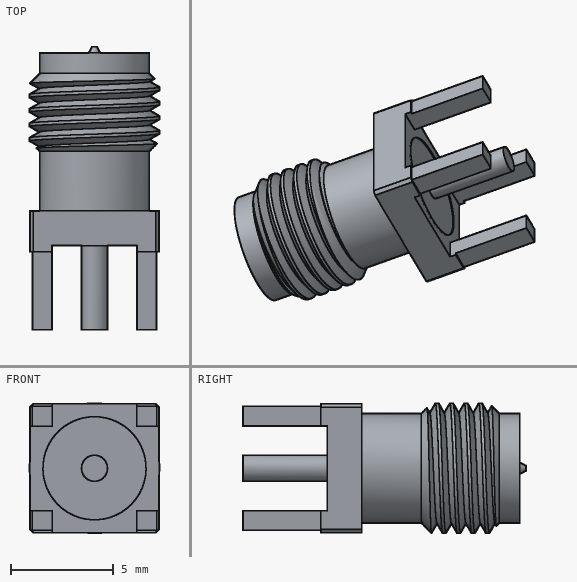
import cadquery as cq
import math


flange_width = 6.3
flange_thickness = 2.0
flange_corner_chamfer = 0.17
recess_depth = 0.3

leg_inner = 2.06
leg_outer = 3.03
leg_length = 3.8

insulator_diameter = 5.03
insulator_gap_depth = 0.05
pin_diameter = 1.27

barrel_diameter = 5.35
barrel_end = 9.7
thread_diameter = 6.35
thread_start = 4.9
thread_end = 8.7
thread_pitch = 25.4 / 36
thread_crest_y = 7.6
thread_angle = 60.0
groove_depth = 0.475
groove_overshoot = 0.03

tip_end = 10.0
tip_base_diameter = 0.57
tip_end_diameter = 0.25

barrel_radius = barrel_diameter / 2
thread_radius = thread_diameter / 2
thread_height = thread_radius - barrel_radius


def box_between(x_range, y_range, z_range):
    """Axis-aligned box given by its limits along X, Y and Z."""
    corner = cq.Vector(x_range[0], y_range[0], z_range[0])
    size = [limits[1] - limits[0] for limits in (x_range, y_range, z_range)]
    return cq.Workplane(obj=cq.Solid.makeBox(*size, corner))


def y_cylinder(diameter, y_start, y_end):
    """Cylinder on the Y axis."""
    base = cq.Vector(0, y_start, 0)
    return cq.Workplane(obj=cq.Solid.makeCylinder(diameter / 2, y_end - y_start, base, cq.Vector(0, 1, 0)))


def make_flange():
    """Square flange whose recess leaves a raised pad at each corner."""
    half = flange_width / 2
    flange = box_between((-half, half), (0, flange_thickness), (-half, half))
    flange = flange.edges("|Y").chamfer(flange_corner_chamfer)
    channel = (-leg_inner, leg_inner)
    across = (-half, half)
    flange = flange.cut(box_between(channel, (0, recess_depth), across))
    flange = flange.cut(box_between(across, (0, recess_depth), channel))
    insulator_face = recess_depth + insulator_gap_depth
    return flange.cut(y_cylinder(insulator_diameter, recess_depth, insulator_face))


def make_leg(x_sign, z_sign):
    """Square leg below one corner pad, rooted in the flange."""
    x_range = sorted((x_sign * leg_inner, x_sign * leg_outer))
    z_range = sorted((z_sign * leg_inner, z_sign * leg_outer))
    return box_between(x_range, (-leg_length, recess_depth), z_range)


def make_thread_groove():
    """Right-hand V groove that overruns both ends of the thread."""
    half_slope = math.tan(math.radians(thread_angle / 2))
    root_radius = thread_radius - groove_depth
    mouth_radius = thread_radius + groove_overshoot
    mouth_half_width = (groove_depth + groove_overshoot) * half_slope

    turns_before = math.ceil((thread_crest_y - thread_start) / thread_pitch) + 1
    turns_after = math.ceil((thread_end - thread_crest_y) / thread_pitch) + 1
    length = (turns_before + turns_after) * thread_pitch
    helix = cq.Wire.makeHelix(thread_pitch, length, thread_radius)
    profile = (
        cq.Workplane("XZ")
        .moveTo(root_radius, 0)
        .lineTo(mouth_radius, mouth_half_width)
        .lineTo(mouth_radius, -mouth_half_width)
        .close()
    )
    groove = profile.sweep(cq.Workplane(obj=helix), isFrenet=True)
    start_y = thread_crest_y - turns_before * thread_pitch
    return groove.rotate((0, 0, 0), (1, 0, 0), -90).translate((0, start_y, 0))


def make_barrel():
    """Threaded bar turned down to the barrel, with 45 degree ends on the thread."""
    envelope = (
        cq.Workplane("XY")
        .moveTo(0, flange_thickness)
        .lineTo(barrel_radius, flange_thickness)
        .lineTo(barrel_radius, thread_start)
        .lineTo(thread_radius, thread_start + thread_height)
        .lineTo(thread_radius, thread_end - thread_height)
        .lineTo(barrel_radius, thread_end)
        .lineTo(barrel_radius, barrel_end)
        .lineTo(0, barrel_end)
        .close()
        .revolve(360, (0, 0, 0), (0, 1, 0))
    )
    threaded_bar = y_cylinder(thread_diameter, flange_thickness, barrel_end + 2 * thread_pitch)
    threaded_bar = threaded_bar.cut(make_thread_groove())
    return envelope.intersect(threaded_bar)


def make_contact_tip():
    """Truncated cone standing on the end of the barrel."""
    tip = cq.Solid.makeCone(
        tip_base_diameter / 2,
        tip_end_diameter / 2,
        tip_end - barrel_end,
        cq.Vector(0, barrel_end, 0),
        cq.Vector(0, 1, 0),
    )
    return cq.Workplane(obj=tip)


body = make_flange().union(make_barrel())
for x_side in (-1, 1):
    for z_side in (-1, 1):
        body = body.union(make_leg(x_side, z_side))
body = body.union(y_cylinder(pin_diameter, -leg_length, flange_thickness))
result = body.union(make_contact_tip())